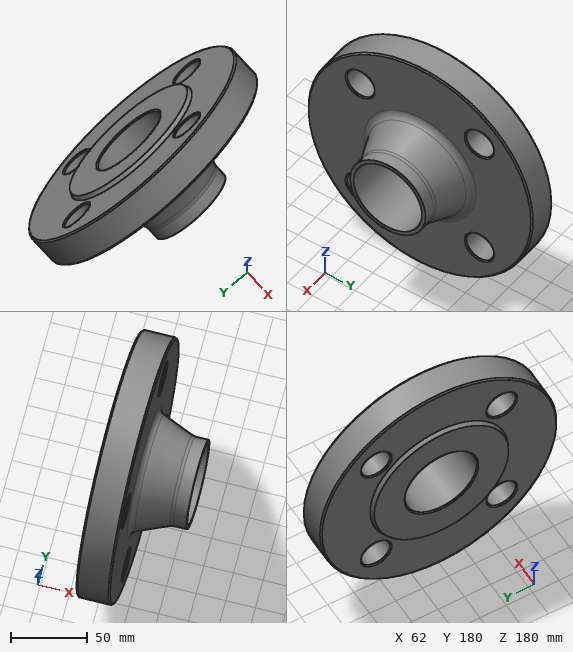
import cadquery as cq
import math

total_length = 62.0
raised_face_height = 3.0
disc_back = 26.0
cone_end = 51.8

disc_diameter = 180.0
raised_face_diameter = 102.0
raised_face_base_diameter = 105.0
hub_base_diameter = 81.7
neck_diameter = 60.3
bore_diameter = 54.5

bolt_hole_diameter = 22.0
bolt_circle_diameter = 135.0
bolt_count = 4
first_bolt_angle = 45.0

hub_fillet = 6.0
rim_chamfer = 1.0
hole_chamfer = 0.9


def flange_body():
    """Solid of revolution about X: raised face, disc, conical hub and neck."""
    profile = [
        (0, 0),
        (0, raised_face_diameter / 2),
        (raised_face_height, raised_face_base_diameter / 2),
        (raised_face_height, disc_diameter / 2 - rim_chamfer),
        (raised_face_height + rim_chamfer, disc_diameter / 2),
        (disc_back - rim_chamfer, disc_diameter / 2),
        (disc_back, disc_diameter / 2 - rim_chamfer),
        (disc_back, hub_base_diameter / 2),
        (cone_end, neck_diameter / 2),
        (total_length, neck_diameter / 2),
        (total_length, 0),
    ]
    body = cq.Workplane("XY").polyline(profile).close().revolve(360, (0, 0, 0), (1, 0, 0))
    return body.faces("%CONE").faces(">X").edges("%CIRCLE").fillet(hub_fillet)


def chamfered_hole(diameter, start, end, back_chamfer):
    """Cutter along X with a chamfered front mouth and an optional back chamfer."""
    radius = diameter / 2
    mouth_radius = radius + hole_chamfer
    profile = [
        (start, 0),
        (start, mouth_radius),
        (start + hole_chamfer, radius),
    ]
    if back_chamfer:
        profile += [(end - hole_chamfer, radius), (end, mouth_radius)]
    else:
        profile += [(end, radius)]
    profile += [(end, 0)]
    return cq.Workplane("XY").polyline(profile).close().revolve(360, (0, 0, 0), (1, 0, 0))


result = flange_body().cut(chamfered_hole(bore_diameter, 0, total_length, back_chamfer=False))

bolt_hole = chamfered_hole(bolt_hole_diameter, raised_face_height, disc_back, back_chamfer=True)
for index in range(bolt_count):
    angle = math.radians(first_bolt_angle + index * 360 / bolt_count)
    y = bolt_circle_diameter / 2 * math.cos(angle)
    z = bolt_circle_diameter / 2 * math.sin(angle)
    result = result.cut(bolt_hole.translate((0, y, z)))